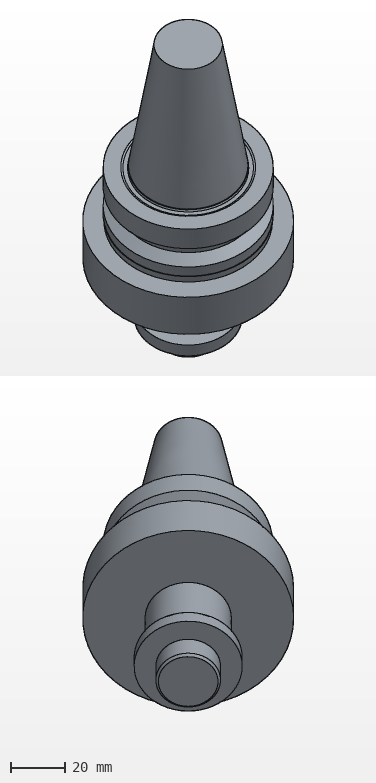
import cadquery as cq

total_height = 157.4

screw_head_diameter = 24.0
screw_head_height = 10.2
screw_head_chamfer = 1.0
washer_diameter = 40.0
washer_thickness = 5.8
shank_diameter = 16.0
shank_length = 6.1

pilot_diameter = 32.0
pilot_length = 20.0
flange_diameter = 78.0
flange_thickness = 20.0

shoulder_diameter = 62.5
shoulder_height = 3.1
collar_diameter = 63.0
lower_ring_height = 5.2
groove_diameter = 53.0
groove_floor_width = 4.9
groove_bevel_height = 2.5
upper_ring_height = 10.5

recess_diameter = 48.3
recess_depth = 0.3
recess_bevel_width = 0.8

taper_large_diameter = 44.4
taper_length = 65.3
taper_ratio = 7 / 24
taper_land_height = 0.5
neck_diameter = 43.9
neck_foot_width = 0.5
neck_foot_height = 0.6

washer_bottom = screw_head_height
washer_top = washer_bottom + washer_thickness
pilot_bottom = washer_top + shank_length
flange_bottom = pilot_bottom + pilot_length
flange_top = flange_bottom + flange_thickness
shoulder_top = flange_top + shoulder_height
lower_ring_top = shoulder_top + lower_ring_height
groove_bottom = lower_ring_top + groove_bevel_height
groove_top = groove_bottom + groove_floor_width
upper_ring_bottom = groove_top + groove_bevel_height
collar_top = upper_ring_bottom + upper_ring_height
recess_floor = collar_top - recess_depth
taper_bottom = total_height - taper_length
land_bottom = taper_bottom - taper_land_height
taper_small_diameter = taper_large_diameter - taper_length * taper_ratio


def cylinder(diameter, bottom, top):
    """Solid cylinder on the Z axis between two levels."""
    return cq.Workplane("XY").workplane(offset=bottom).circle(diameter / 2).extrude(top - bottom)


def cone(bottom_diameter, top_diameter, bottom, top):
    """Solid truncated cone on the Z axis between two levels."""
    profile = [
        (0, bottom),
        (bottom_diameter / 2, bottom),
        (top_diameter / 2, top),
        (0, top),
    ]
    return cq.Workplane("XZ").polyline(profile).close().revolve(360, (0, 0), (0, 1))


def make_screw():
    head = cylinder(screw_head_diameter, 0, washer_bottom).faces("<Z").chamfer(screw_head_chamfer)
    washer = cylinder(washer_diameter, washer_bottom, washer_top)
    shank = cylinder(shank_diameter, washer_top, pilot_bottom)
    return head.union(washer).union(shank)


def make_flange_and_pilot():
    pilot = cylinder(pilot_diameter, pilot_bottom, flange_bottom)
    flange = cylinder(flange_diameter, flange_bottom, flange_top)
    return pilot.union(flange)


def make_collar():
    collar = cylinder(shoulder_diameter, flange_top, shoulder_top)
    collar = collar.union(cylinder(collar_diameter, shoulder_top, lower_ring_top))
    collar = collar.union(cone(collar_diameter, groove_diameter, lower_ring_top, groove_bottom))
    collar = collar.union(cylinder(groove_diameter, groove_bottom, groove_top))
    collar = collar.union(cone(groove_diameter, collar_diameter, groove_top, upper_ring_bottom))
    collar = collar.union(cylinder(collar_diameter, upper_ring_bottom, collar_top))

    mouth_diameter = recess_diameter + 2 * recess_bevel_width
    recess = cone(recess_diameter, mouth_diameter, recess_floor, collar_top)
    return collar.cut(recess)


def make_taper():
    foot_diameter = neck_diameter + 2 * neck_foot_width
    foot = cone(foot_diameter, neck_diameter, recess_floor, recess_floor + neck_foot_height)
    neck = cylinder(neck_diameter, recess_floor, land_bottom)
    land = cylinder(taper_large_diameter, land_bottom, taper_bottom)
    taper = cone(taper_large_diameter, taper_small_diameter, taper_bottom, total_height)
    return neck.union(foot).union(land).union(taper)


result = make_screw().union(make_flange_and_pilot()).union(make_collar()).union(make_taper())